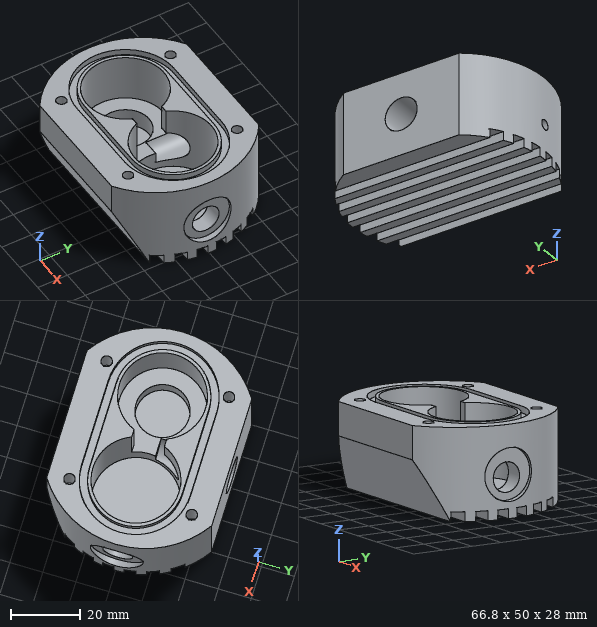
import cadquery as cq

length = 66.8
width = 50.0
height = 28.0
flat_length = 39.95
bevel_foot_y = -17.0
bevel_top_z = 17.85

bore_spacing = 26.4
bore_diameter = 26.0
left_floor_z = 12.0
right_floor_z = 6.0
sump_diameter = 16.0
sump_floor_z = right_floor_z
passage_width = 9.9

groove_outer_width = 32.8
groove_width = 2.4
groove_depth = 2.0

screw_diameter = 3.3
screw_offset = 18.5
screw_depth = 10.0

vent_diameter = 3.3
vent_z = 11.95
vent_end_x = -28.1

end_port_diameter = 9.0
end_port_z = vent_z
end_counterbore_diameter = 16.0
end_counterbore_z = 13.1
end_counterbore_floor_x = 31.4

back_port_diameter = 11.0
back_port_z = 14.0
back_port_end_y = 2.0

slot_count = 6
slot_width = 3.5
slot_pitch = 6.5
slot_height = 3.0

left_x = -bore_spacing / 2
right_x = bore_spacing / 2


def make_body():
    half_flat = flat_length / 2
    half_width = width / 2
    body = (
        cq.Workplane("XY")
        .moveTo(-half_flat, -half_width)
        .lineTo(half_flat, -half_width)
        .threePointArc((length / 2, 0), (half_flat, half_width))
        .lineTo(-half_flat, half_width)
        .threePointArc((-length / 2, 0), (-half_flat, -half_width))
        .close()
        .extrude(height)
    )
    bevel = (
        cq.Workplane("YZ")
        .polyline([(bevel_foot_y, 0), (-half_width, bevel_top_z), (-half_width, 0)])
        .close()
        .extrude(length, both=True)
    )
    return body.cut(bevel)


def vertical_hole(x, y, diameter, floor_z):
    return cq.Workplane("XY", origin=(x, y, floor_z)).circle(diameter / 2).extrude(height - floor_z)


def make_chambers():
    passage = (
        cq.Workplane("XY", origin=(0, 0, left_floor_z))
        .rect(bore_spacing, passage_width)
        .extrude(height - left_floor_z)
    )
    return (
        vertical_hole(left_x, 0, bore_diameter, left_floor_z)
        .union(vertical_hole(right_x, 0, bore_diameter, right_floor_z))
        .union(vertical_hole(left_x, 0, sump_diameter, sump_floor_z))
        .union(passage)
    )


def make_groove():
    inner_width = groove_outer_width - 2 * groove_width
    plane = cq.Workplane("XY", origin=(0, 0, height - groove_depth))
    outer = plane.slot2D(bore_spacing + groove_outer_width, groove_outer_width).extrude(groove_depth)
    island = plane.slot2D(bore_spacing + inner_width, inner_width).extrude(groove_depth)
    return outer.cut(island)


def port_along_x(start_x, end_x, z, diameter):
    return cq.Workplane("YZ", origin=(start_x, 0, z)).circle(diameter / 2).extrude(end_x - start_x)


def make_back_port():
    return (
        cq.Workplane("XZ", origin=(0, back_port_end_y, back_port_z))
        .circle(back_port_diameter / 2)
        .extrude(back_port_end_y - width / 2)
    )


def make_cooling_slots():
    first_y = bevel_foot_y + slot_width / 2
    slots = cq.Workplane("XY")
    for index in range(slot_count):
        slots = slots.union(
            cq.Workplane("XY", origin=(0, first_y + index * slot_pitch, 0))
            .rect(length, slot_width)
            .extrude(slot_height)
        )
    return slots


result = make_body().cut(make_chambers()).cut(make_groove())
for screw_x in (-screw_offset, screw_offset):
    for screw_y in (-screw_offset, screw_offset):
        result = result.cut(vertical_hole(screw_x, screw_y, screw_diameter, height - screw_depth))

result = (
    result.cut(port_along_x(-length / 2, vent_end_x, vent_z, vent_diameter))
    .cut(port_along_x(right_x, length / 2, end_port_z, end_port_diameter))
    .cut(port_along_x(end_counterbore_floor_x, length / 2, end_counterbore_z, end_counterbore_diameter))
    .cut(make_back_port())
    .cut(make_cooling_slots())
)